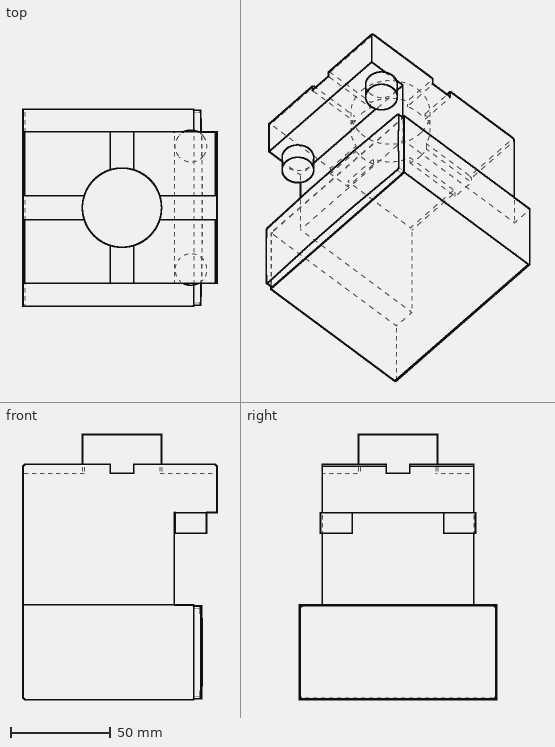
import cadquery as cq
import math

base_height = 48.0
ledge_height = 94.5
block_height = 119.0
total_height = 134.0

base_length = 86.2
base_width = 99.6
neck_length = 76.5
block_length = 98.0
block_width = 76.5
edge_chamfer = 1.0

spigot_diameter = 40.0
spigot_x = 50.0
slot_width = 12.0
slot_depth = 4.5

pin_diameter = 16.0
pin_length = 10.5
pin_x = 84.7
pin_protrusion = 0.9

cover_inset = 0.5
cover_thickness = 4.4
cover_crown = 1.0
cover_corner_radius = 1.25


def box(length, width, height, x_start, z_start):
    """Box centred on Y = 0, starting at the given X and Z."""
    return cq.Workplane("XY").box(length, width, height, centered=(False, True, False)).translate(
        (x_start, 0, z_start)
    )


def make_base():
    base = box(base_length, base_width, base_height, 0, 0)
    return base.edges("<X and <Z").chamfer(edge_chamfer)


def make_block():
    """Neck with an overhanging ledge toward +X."""
    outline = [
        (0, base_height),
        (neck_length, base_height),
        (neck_length, ledge_height),
        (block_length, ledge_height),
        (block_length, block_height - edge_chamfer),
        (block_length - edge_chamfer, block_height),
        (edge_chamfer, block_height),
        (0, block_height - edge_chamfer),
    ]
    return cq.Workplane("XZ").polyline(outline).close().extrude(block_width / 2, both=True)


def cut_slots(block):
    """Cut one slot along X and one along Y, crossing at the spigot axis."""
    slot_floor = block_height - slot_depth
    slot_along_x = box(block_length, slot_width, slot_depth, 0, slot_floor)
    slot_along_y = box(slot_width, block_width, slot_depth, spigot_x - slot_width / 2, slot_floor)
    return block.cut(slot_along_x).cut(slot_along_y)


def make_spigot():
    slot_floor = block_height - slot_depth
    spigot = cq.Workplane("XY").circle(spigot_diameter / 2).extrude(total_height - slot_floor)
    return spigot.translate((spigot_x, 0, slot_floor))


def make_pins():
    pin_y = block_width / 2 + pin_protrusion - pin_diameter / 2
    pins = cq.Workplane("XY", origin=(0, 0, ledge_height))
    return pins.pushPoints([(pin_x, -pin_y), (pin_x, pin_y)]).circle(pin_diameter / 2).extrude(-pin_length)


def make_cover():
    """Plate with rounded corners whose outer face is a shallow spherical crown."""
    width = base_width - 2 * cover_inset
    height = base_height - 2 * cover_inset
    plate = box(cover_thickness, width, height, base_length, cover_inset)
    plate = plate.edges("|X").fillet(cover_corner_radius)
    half_diagonal = math.hypot(width, height) / 2
    crown_radius = (half_diagonal**2 + cover_crown**2) / (2 * cover_crown)
    crown_center_x = base_length + cover_thickness - crown_radius
    crown = cq.Workplane("XY").sphere(crown_radius).translate((crown_center_x, 0, base_height / 2))
    return plate.intersect(crown)


result = make_base().union(cut_slots(make_block()))
result = result.union(make_spigot()).union(make_pins()).union(make_cover())